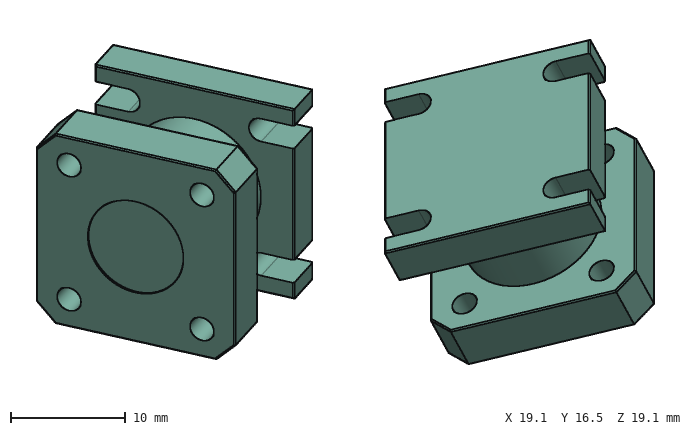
import cadquery as cq

flange_side = 19.05
total_length = 16.52
front_thickness = 4.8
back_thickness = 4.04
neck_diameter = 12.73
edge_chamfer = 0.13

corner_chamfer = 1.85
recess_diameter = 9.15
recess_depth = 0.2

bolt_diameter = 2.29
bolt_spacing_x = 12.7
bolt_spacing_z = 13.47

half_side = flange_side / 2
front_face = -total_length / 2
back_inner_face = total_length / 2 - back_thickness


def along_y(start):
    """Workplane at Y = start whose extrusions run toward +Y; local y is -Z."""
    return cq.Workplane("XZ", origin=(0, start, 0)).transformed(rotate=(180, 0, 0))


def make_front_flange():
    flange = along_y(front_face).rect(flange_side, flange_side).extrude(front_thickness)
    flange = flange.edges("|Y").chamfer(corner_chamfer)
    flange = flange.faces("<Y or >Y").edges().chamfer(edge_chamfer)
    holes = (
        along_y(front_face)
        .rect(bolt_spacing_x, bolt_spacing_z, forConstruction=True)
        .vertices()
        .circle(bolt_diameter / 2)
        .extrude(front_thickness)
    )
    recess = along_y(front_face).circle(recess_diameter / 2).extrude(recess_depth)
    return flange.cut(holes).cut(recess)


def make_side_slot(x_sign, z_sign):
    """Round-ended slot from a bolt position out through the nearest X side."""
    bolt_x = x_sign * bolt_spacing_x / 2
    bolt_z = z_sign * bolt_spacing_z / 2
    run_length = half_side - bolt_spacing_x / 2
    round_end = (
        along_y(back_inner_face)
        .center(bolt_x, bolt_z)
        .circle(bolt_diameter / 2)
        .extrude(back_thickness)
    )
    run = (
        along_y(back_inner_face)
        .center(bolt_x + x_sign * run_length / 2, bolt_z)
        .rect(run_length, bolt_diameter)
        .extrude(back_thickness)
    )
    return round_end.union(run)


def make_back_flange():
    flange = along_y(back_inner_face).rect(flange_side, flange_side).extrude(back_thickness)
    flange = flange.faces("<Y or >Y").edges().chamfer(edge_chamfer)
    for x_sign in (-1, 1):
        for z_sign in (-1, 1):
            flange = flange.cut(make_side_slot(x_sign, z_sign))
    return flange


neck_start = front_face + front_thickness
neck = along_y(neck_start).circle(neck_diameter / 2).extrude(back_inner_face - neck_start)

result = make_front_flange().union(neck).union(make_back_flange())